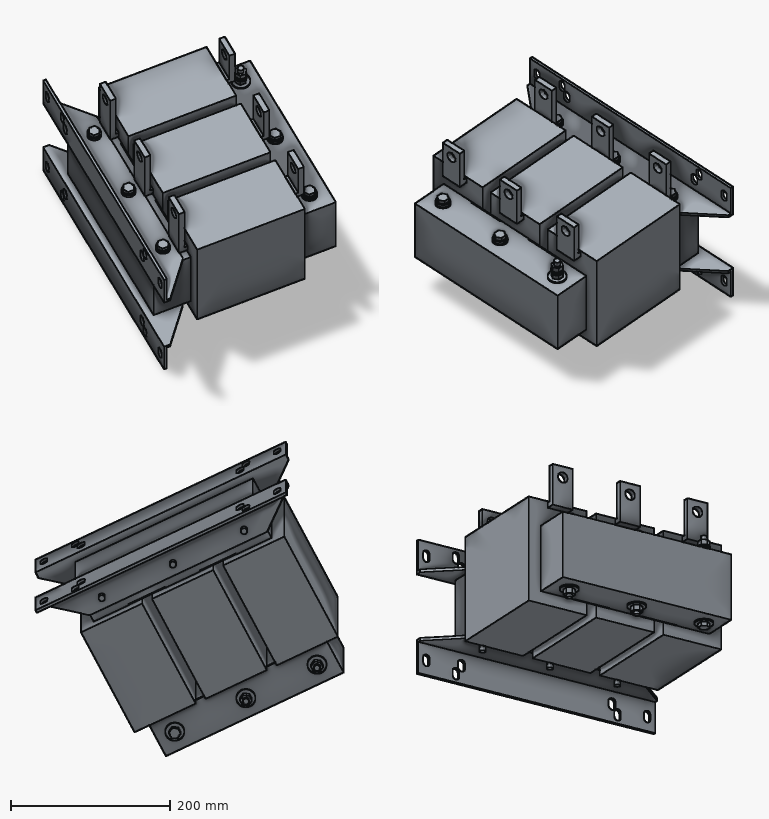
import cadquery as cq


PHASE_PITCH = 100.0
PHASE_XS = (-PHASE_PITCH, 0.0, PHASE_PITCH)
LEG_WIDTH = 50.0
CORE_WIDTH = 2 * PHASE_PITCH + LEG_WIDTH
CORE_DEPTH = 254.0
CORE_HEIGHT = 90.0
YOKE_DEPTH = 50.5
CORE_TOP = CORE_HEIGHT / 2
CORE_BOTTOM = -CORE_TOP
CORE_BACK = CORE_DEPTH / 2
CORE_FRONT = -CORE_BACK
WINDOW_WIDTH = PHASE_PITCH - LEG_WIDTH
WINDOW_DEPTH = CORE_DEPTH - 2 * YOKE_DEPTH

COIL_WIDTH = 86.0
COIL_DEPTH = 150.0
COIL_BOTTOM = -62.0
COIL_TOP = 81.0
STRIP_WIDTH = WINDOW_WIDTH + 1.0
STRIP_THICKNESS = 1.0
STRIP_HEIGHT = CORE_HEIGHT + 1.0

LUG_WIDTH = 30.0
LUG_THICKNESS = 8.0
LUG_REACH = 12.0
LUG_TOP = 127.8
REAR_LUG_HEIGHT = 56.0
FRONT_LUG_HEIGHT = 80.0
LUG_HOLE_DIAMETER = 14.0
LUG_HOLE_FROM_TOP = 15.3

ANGLE_LENGTH = 352.0
ANGLE_THICKNESS = 4.0
ANGLE_FRONT = CORE_FRONT - 9.95
ANGLE_BACK = -86.2
ANGLE_TAPER_START = -128.5
ANGLE_HEIGHT = 46.5
ANGLE_SLOTS = (
    (164.0, 20.0, 9.5, 16.0),
    (120.0, 12.0, 9.5, 16.0),
    (111.8, 25.0, 10.5, 16.0),
)

BOLT_Y = 102.1
BOLT_DIAMETER = 8.0
HEX_CORNERS = 15.2
HEAD_HEIGHT = 5.3
NUT_HEIGHT = 7.2
WIDE_WASHER = (24.0, 2.0)
FLAT_WASHER = (20.0, 1.2)
LOCK_WASHER = (18.0, 3.6)
STUD_FLAT_WASHER = (15.6, 1.5)
STUD_SPRING_WASHER = (14.6, 1.5)
BOLT_END = -58.2
FRONT_BOLT_END = -55.8
STUD_END = 72.6


def box(width, depth, bottom, top, x=0.0, y=0.0):
    """Box centred at (x, y) and reaching from bottom to top."""
    block = cq.Workplane("XY").box(width, depth, top - bottom, centered=(True, True, False))
    return block.translate((x, y, bottom))


def make_core():
    core = box(CORE_WIDTH, CORE_DEPTH, CORE_BOTTOM, CORE_TOP)
    for x in (-PHASE_PITCH / 2, PHASE_PITCH / 2):
        core = core.cut(box(WINDOW_WIDTH, WINDOW_DEPTH, CORE_BOTTOM, CORE_TOP, x))
    return core


def make_coils():
    coils = cq.Workplane("XY")
    for x in PHASE_XS:
        coils = coils.add(box(COIL_WIDTH, COIL_DEPTH, COIL_BOTTOM, COIL_TOP, x))
    return coils.combine()


def make_strips():
    strips = cq.Workplane("XY")
    strip_y = (WINDOW_DEPTH - STRIP_THICKNESS) / 2
    for x in (-PHASE_PITCH / 2, PHASE_PITCH / 2):
        for y in (-strip_y, strip_y):
            strip = box(STRIP_WIDTH, STRIP_THICKNESS, -STRIP_HEIGHT / 2, STRIP_HEIGHT / 2, x, y)
            strips = strips.add(strip)
    return strips.combine()


def make_lug(x, height, side):
    """L-shaped lug on a coil end; side is +1 at the back and -1 at the front."""
    bottom = LUG_TOP - height
    coil_end = COIL_DEPTH / 2
    foot = box(LUG_WIDTH, LUG_REACH, bottom, bottom + LUG_THICKNESS, x, side * (coil_end + LUG_REACH / 2))
    blade_y = side * (coil_end + LUG_REACH - LUG_THICKNESS / 2)
    blade = box(LUG_WIDTH, LUG_THICKNESS, bottom, LUG_TOP, x, blade_y)
    hole = (
        cq.Workplane("XZ", origin=(x, blade_y, LUG_TOP - LUG_HOLE_FROM_TOP))
        .circle(LUG_HOLE_DIAMETER / 2)
        .extrude(LUG_THICKNESS, both=True)
    )
    return foot.union(blade).cut(hole)


def make_angle(side):
    """Mounting angle on the core face; side is +1 for the top and -1 for the bottom."""
    free_edge = CORE_TOP + ANGLE_HEIGHT
    half_length = ANGLE_LENGTH / 2
    half_back = CORE_WIDTH / 2
    flange = (
        cq.Workplane("XY", origin=(0, 0, side * CORE_TOP))
        .polyline([
            (-half_length, ANGLE_FRONT),
            (half_length, ANGLE_FRONT),
            (half_length, ANGLE_TAPER_START),
            (half_back, ANGLE_BACK),
            (-half_back, ANGLE_BACK),
            (-half_length, ANGLE_TAPER_START),
        ])
        .close()
        .extrude(side * ANGLE_THICKNESS)
    )
    ends = sorted((side * CORE_TOP, side * free_edge))
    plate = box(ANGLE_LENGTH, ANGLE_THICKNESS, *ends, y=ANGLE_FRONT + ANGLE_THICKNESS / 2)
    for x, edge_distance, width, length in ANGLE_SLOTS:
        slots = (
            cq.Workplane("XZ", origin=(0, ANGLE_FRONT, side * (free_edge - edge_distance)))
            .pushPoints([(-x, 0), (x, 0)])
            .slot2D(length, width, 90)
            .extrude(ANGLE_THICKNESS, both=True)
        )
        plate = plate.cut(slots)
    return flange.union(plate)


def disc(diameter, height):
    return cq.Workplane("XY").circle(diameter / 2).extrude(height)


def hexagon(height):
    """Hexagonal head or nut with two corners on the Y axis."""
    return cq.Workplane("XY").polygon(6, HEX_CORNERS).extrude(height).rotate((0, 0, 0), (0, 0, 1), 90)


def stack(x, y, start, parts, side):
    """Pile (shape, height) parts from start, upward for side +1 and downward for side -1."""
    pile = cq.Workplane("XY")
    level = start
    for shape, height in parts:
        bottom = min(level, level + side * height)
        pile = pile.add(shape.translate((x, y, bottom)))
        level += side * height
    return pile.combine()


def washer(size):
    return disc(*size), size[1]


def shank(x, y, bottom, top):
    return disc(BOLT_DIAMETER, top - bottom).translate((x, y, bottom))


HEAD = (hexagon(HEAD_HEIGHT), HEAD_HEIGHT)
NUT = (hexagon(NUT_HEIGHT), NUT_HEIGHT)


def make_front_bolt(x):
    """Bolt through both angles, with its head on the top angle."""
    head = stack(x, -BOLT_Y, CORE_TOP + ANGLE_THICKNESS, [washer(LOCK_WASHER), HEAD], 1)
    return head.union(shank(x, -BOLT_Y, FRONT_BOLT_END, CORE_TOP + ANGLE_THICKNESS))


def make_rear_bolt(x):
    """Bolt through the rear yoke, with its head on top and its nut below."""
    head = stack(x, BOLT_Y, CORE_TOP, [washer(FLAT_WASHER), washer(LOCK_WASHER), HEAD], 1)
    nut = stack(x, BOLT_Y, CORE_BOTTOM, [washer(WIDE_WASHER), NUT], -1)
    return head.union(nut).union(shank(x, BOLT_Y, BOLT_END, CORE_TOP))


def make_earth_stud(x):
    """Upturned bolt in the rear yoke, with two nuts and a washer set between them."""
    head = stack(x, BOLT_Y, CORE_BOTTOM, [washer(WIDE_WASHER), HEAD], -1)
    clamp = [
        washer(WIDE_WASHER),
        NUT,
        washer(STUD_FLAT_WASHER),
        washer(STUD_SPRING_WASHER),
        washer(STUD_FLAT_WASHER),
        NUT,
    ]
    nuts = stack(x, BOLT_Y, CORE_TOP, clamp, 1)
    return head.union(nuts).union(shank(x, BOLT_Y, CORE_BOTTOM, STUD_END))


result = make_core().union(make_coils()).union(make_strips())
result = result.union(make_angle(1)).union(make_angle(-1))
for phase_x in PHASE_XS:
    result = result.union(make_lug(phase_x, REAR_LUG_HEIGHT, 1))
    result = result.union(make_lug(phase_x, FRONT_LUG_HEIGHT, -1))
    result = result.union(make_front_bolt(phase_x))
result = result.union(make_earth_stud(PHASE_XS[0]))
for phase_x in PHASE_XS[1:]:
    result = result.union(make_rear_bolt(phase_x))